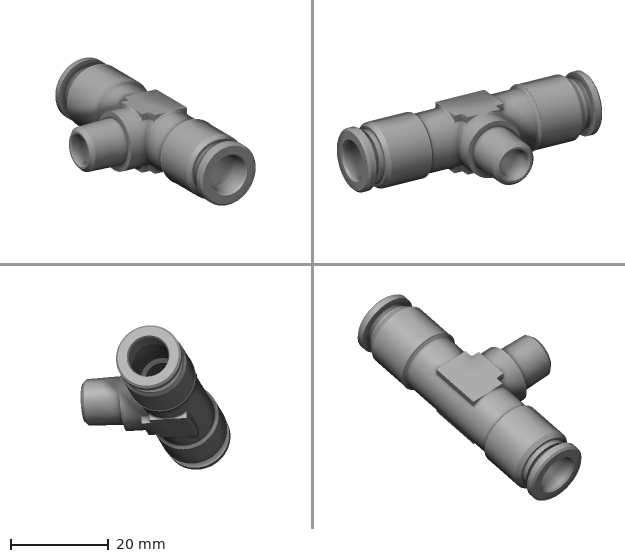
import cadquery as cq

run_length = 55.4
half_run = run_length / 2
tube_radius = 6.3

collar_radius = 6.75
collar_width = 1.8
collar_chamfer = 0.45
neck_radius = 5.0
neck_root_cone = 0.2
neck_end = 3.15
ring_radius = 5.75
ring_end = 4.2

sleeve_radius = 7.0
outer_bevel_length = 1.0
outer_bevel_depth = 0.6
sleeve_end = 14.8
inner_bevel_length = 0.55

ridge_radius = 7.1
ridge_width = 0.1

run_bore_radius = 3.45
mouth_radius = 4.45
mouth_bevel_length = 0.5
collar_bore_radius = 4.15
collar_bore_depth = 5.0
socket_radius = 4.3
socket_depth = sleeve_end
socket_floor_length = 0.45

branch_radius = tube_radius
branch_length = 9.95
spigot_end = 18.5
spigot_root_radius = 5.0
spigot_tip_radius = 4.75
spigot_chamfer = 0.85
branch_bore_radius = 3.2
branch_mouth_chamfer = 0.3

pad_top = 6.5
pad_half_width = 5.8
pad_half_depth = 3.9
stem_half_width = pad_half_depth
stem_reach = pad_half_width
stem_corner_radius = 0.45
pad_root = 4.45
pad_blend_radius = 0.4
pad_raw_top = 7.75
trim_margin = 2.2

corner_blend_radius = 0.15

X_AXIS_END = (1, 0, 0)
Y_AXIS_END = (0, 1, 0)


def revolved(profile, axis_end):
    """Solid of revolution of a closed XY profile about an axis through the origin."""
    return cq.Workplane("XY").polyline(profile).close().revolve(360, (0, 0, 0), axis_end)


def symmetric_run(half_profile):
    """Solid revolved about X from the +X half of its outline, listed from the open end inward."""
    other_half = [(-x, radius) for x, radius in reversed(half_profile)]
    return revolved([(half_run, 0)] + half_profile + other_half + [(-half_run, 0)], X_AXIS_END)


def run_body():
    """Tube, sleeves and release collars, with the sleeves blended into the tube."""
    collar_inner = half_run - collar_width
    sleeve_front = half_run - ring_end
    sleeve_back = half_run - sleeve_end
    bevel_foot = sleeve_back - inner_bevel_length
    body = symmetric_run(
        [
            (half_run, collar_radius - collar_chamfer),
            (half_run - collar_chamfer, collar_radius),
            (collar_inner, collar_radius),
            (collar_inner, neck_radius + neck_root_cone),
            (collar_inner - neck_root_cone, neck_radius),
            (half_run - neck_end, neck_radius),
            (half_run - neck_end, ring_radius),
            (sleeve_front, ring_radius),
            (sleeve_front, sleeve_radius - outer_bevel_depth),
            (sleeve_front - outer_bevel_length, sleeve_radius),
            (sleeve_back, sleeve_radius),
            (bevel_foot, tube_radius),
        ]
    )
    for foot in (bevel_foot, -bevel_foot):
        foot_edge = cq.selectors.NearestToPointSelector((foot, 0, 0))
        body = body.edges(foot_edge).fillet(corner_blend_radius)
    ridge = revolved(
        [
            (bevel_foot + corner_blend_radius, tube_radius),
            (sleeve_back, ridge_radius),
            (sleeve_back + ridge_width, sleeve_radius),
            (sleeve_back + ridge_width, tube_radius),
        ],
        X_AXIS_END,
    )
    return body.union(ridge)


def run_passage():
    """Through bore with a wider socket and a bevelled mouth at each end."""
    collar_bore_end = half_run - collar_bore_depth
    socket_floor = half_run - socket_depth
    return symmetric_run(
        [
            (half_run, mouth_radius),
            (half_run - mouth_bevel_length, collar_bore_radius),
            (collar_bore_end, collar_bore_radius),
            (collar_bore_end, socket_radius),
            (socket_floor, socket_radius),
            (socket_floor - socket_floor_length, run_bore_radius),
        ]
    )


def branch_body():
    """Shouldered branch with a tapered, bevelled spigot."""
    return revolved(
        [
            (0, 0),
            (branch_radius, 0),
            (branch_radius, -branch_length),
            (spigot_root_radius, -branch_length),
            (spigot_tip_radius, -(spigot_end - spigot_chamfer)),
            (spigot_tip_radius - spigot_chamfer, -spigot_end),
            (0, -spigot_end),
        ],
        Y_AXIS_END,
    )


def branch_passage():
    """Branch bore from the run axis out to a bevelled mouth."""
    return revolved(
        [
            (0, 0),
            (branch_bore_radius, 0),
            (branch_bore_radius, -(spigot_end - branch_mouth_chamfer)),
            (branch_bore_radius + branch_mouth_chamfer, -spigot_end),
            (0, -spigot_end),
        ],
        Y_AXIS_END,
    )


def raw_pad():
    """Over-tall T-shaped block on the +Z side, its stem pointing along the branch."""
    outline = [
        (-pad_half_width, pad_half_depth),
        (pad_half_width, pad_half_depth),
        (pad_half_width, -pad_half_depth),
        (stem_half_width, -pad_half_depth),
        (stem_half_width, -stem_reach),
        (-stem_half_width, -stem_reach),
        (-stem_half_width, -pad_half_depth),
        (-pad_half_width, -pad_half_depth),
    ]
    plan = cq.Workplane("XY").workplane(offset=pad_root).polyline(outline).close()
    block = plan.extrude(pad_raw_top - pad_root)
    middle_height = (pad_root + pad_raw_top) / 2
    for corner_x in (-stem_half_width, stem_half_width):
        stem_corner = cq.selectors.NearestToPointSelector((corner_x, -pad_half_depth, middle_height))
        block = block.edges(stem_corner).fillet(stem_corner_radius)
    return block


def is_pad_base(edge):
    """True for the edges where the pad walls meet the run and the branch."""
    centre = edge.Center()
    along_run = abs(centre.x) < pad_half_width + pad_blend_radius
    return along_run and pad_root < abs(centre.z) < pad_top


def is_branch_corner(edge):
    """True for the curved edges where the branch meets the run outside the pads."""
    centre = edge.Center()
    outside_pads = abs(centre.x) > stem_half_width and centre.y < -pad_half_depth
    return edge.geomType() == "ELLIPSE" and outside_pads


def padded_body():
    """Run and branch joined, with both pads blended in and cut to height."""
    pad = raw_pad()
    body = run_body().union(branch_body()).union(pad).union(pad.mirror("XY"))
    body = body.edges("not |Z").filter(is_pad_base).fillet(pad_blend_radius)
    body = body.edges().filter(is_branch_corner).fillet(corner_blend_radius)
    trim_side = 2 * pad_half_width + trim_margin
    trim = cq.Workplane("XY").workplane(offset=pad_top).rect(trim_side, trim_side)
    trim = trim.extrude(pad_raw_top - pad_top)
    return body.cut(trim).cut(trim.mirror("XY"))


result = padded_body().cut(run_passage()).cut(branch_passage())